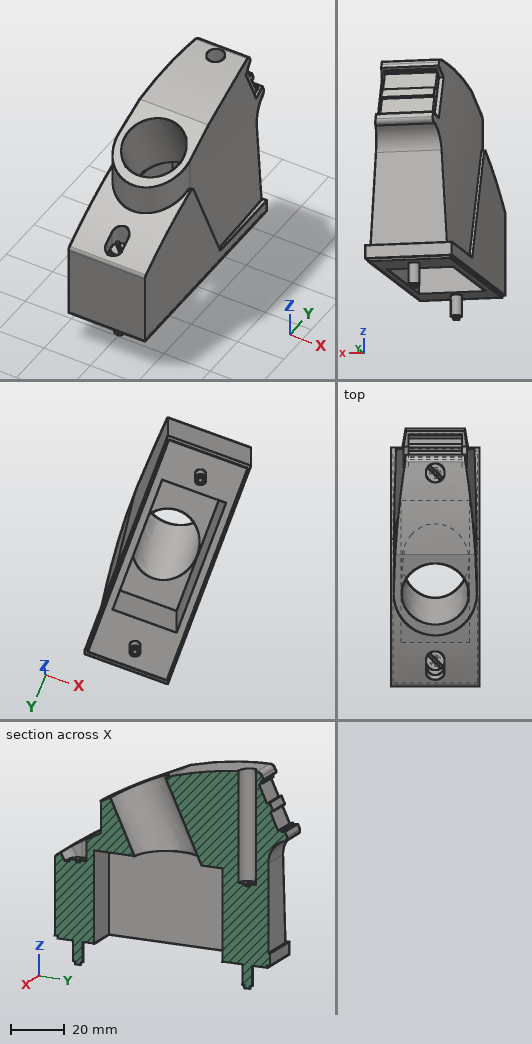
import cadquery as cq
import math


base_width = 33.0
base_length = 88.9
flange_height = 4.9
flange_front_y = 54.8
front_height = 31.0
deck_middle = (18.9, 42.4)
deck_peak = (34.8, 49.5)
deck_front_radius = 1.7
deck_peak_radius = 1.9

plate_width = 31.3
plate_front_y = 1.2
plate_rear_y = 87.6
plate_thickness = 1.0

hood_radius = 15.5
hood_center_y = 34.5
hood_front_y = hood_center_y - hood_radius
hood_rear_y = 88.2
hood_top = 74.9
slope_angle = 24.8
slope_start = (49.1, 68.8)
crown_middle = (68.6, 73.2)
crown_end = (83.4, hood_top)
hood_plan_length = 62.4
bow_mid_low, bow_end_low = 0.1, 0.9
bow_mid_high, bow_end_high = 2.0, 6.4

throat_start_z = 39.8
throat_radius = 10.1
throat_end = (94.0, 49.0)
lip_round_middle = (95.7, 49.8)

recess_origin = (89.2, 51.8)
recess_length = 18.2
lip_reach = 5.9
lower_lip_corner = -3.5
lower_lip_edge = -1.3
upper_lip_edge = 19.6
upper_lip_corner = 21.1

block_width = 20.0
block_height = 3.3
ridge_height = 4.5
ridge_overhang = 1.1
end_ridge_length = 0.9
middle_ridge_start = 7.3
middle_ridge_end = 10.8
block_root = -1.9

bore_diameter = 25.0
bore_center_y = 34.4
cavity_width = 25.3
cavity_front_y = 16.3
cavity_rear_y = 69.1
cavity_top = 35.2

screw_ys = (9.6, 79.4)
screw_hole_diameter = 7.0
head_top = 30.7
driver_slot_width = 1.1
driver_slot_depth = 0.9
driver_slot_angle = -45.0
pin_radius = 2.1
pin_end_z = -8.7
tip_shoulder_radius, tip_radius, tip_end_radius = 1.5, 1.2, 1.0
tip_shoulder_z, tip_chamfer_z, tip_end_z = -9.0, -9.8, -10.1

access_tilt = 30.0
access_front_y = 4.2
access_floor_z = 29.8
wedge_height = 9.6

clearance_height = 96.0


def side_extrusion(outline, width):
    """Extrude a closed Y-Z outline to the given width, centred on X = 0."""
    return outline.close().extrude(width / 2, both=True)


def slope_z(y):
    """Height of the sloping cable-entry face at a given Y."""
    return slope_start[1] - (slope_start[0] - y) * math.tan(math.radians(slope_angle))


def recess_point(along, out):
    """Y-Z place of a point given in the frame of the rear recess."""
    lean = math.radians(slope_angle)
    y = recess_origin[0] - along * math.sin(lean) + out * math.cos(lean)
    z = recess_origin[1] + along * math.cos(lean) + out * math.sin(lean)
    return (y, z)


def leaning_hole(diameter, tilt, center_y, floor_z):
    """Round cutter leaning towards the front, ending on a level floor."""
    lean = math.radians(tilt)
    ellipse = cq.Wire.makeEllipse(
        diameter / 2 / math.cos(lean), diameter / 2,
        cq.Vector(0, center_y, floor_z), cq.Vector(0, 0, 1), cq.Vector(0, 1, 0),
    )
    direction = cq.Vector(0, -math.tan(lean), 1) * clearance_height
    return cq.Workplane(obj=cq.Solid.extrudeLinear(ellipse, [], direction))


def make_base():
    outline = (
        cq.Workplane("YZ")
        .lineTo(0, front_height)
        .threePointArc(deck_middle, deck_peak)
        .lineTo(flange_front_y, flange_height)
        .lineTo(base_length, flange_height)
        .lineTo(base_length, 0)
    )
    base = side_extrusion(outline, base_width)
    base = base.edges(cq.selectors.NearestToPointSelector((0, 0, front_height))).fillet(deck_front_radius)
    return base.edges(cq.selectors.NearestToPointSelector((0, *deck_peak))).fillet(deck_peak_radius)


def make_plate():
    return cq.Workplane("XY").box(
        plate_width, plate_rear_y - plate_front_y, plate_thickness, centered=(True, False, False)
    ).translate((0, plate_front_y, -plate_thickness))


def hood_plan(workplane, bow_mid, bow_end):
    """Plan outline of the hood: round front, bowed sides and a straight rear."""
    middle_y = hood_center_y + hood_plan_length / 2
    rear_y = hood_center_y + hood_plan_length
    return (
        workplane.moveTo(-hood_radius, hood_center_y)
        .threePointArc((0, hood_front_y), (hood_radius, hood_center_y))
        .threePointArc((hood_radius - bow_mid, middle_y), (hood_radius - bow_end, rear_y))
        .lineTo(-hood_radius + bow_end, rear_y)
        .threePointArc((-hood_radius + bow_mid, middle_y), (-hood_radius, hood_center_y))
        .close()
    )


def make_hood():
    plan = hood_plan(cq.Workplane("XY"), bow_mid_low, bow_end_low)
    plan = hood_plan(plan.workplane(offset=hood_top), bow_mid_high, bow_end_high)
    envelope = plan.loft(ruled=True)

    throat_turn = math.asin((throat_end[1] - throat_start_z) / throat_radius) / 2
    throat_middle = (
        hood_rear_y + throat_radius * (1 - math.cos(throat_turn)),
        throat_start_z + throat_radius * math.sin(throat_turn),
    )
    outline = (
        cq.Workplane("YZ")
        .moveTo(hood_front_y, 0)
        .lineTo(hood_rear_y, 0)
        .lineTo(hood_rear_y, throat_start_z)
        .threePointArc(throat_middle, throat_end)
        .threePointArc(lip_round_middle, recess_point(lower_lip_corner, lip_reach))
        .lineTo(*recess_point(lower_lip_edge, lip_reach))
        .lineTo(*recess_point(0, 0))
        .lineTo(*recess_point(recess_length, 0))
        .lineTo(*recess_point(upper_lip_edge, lip_reach))
        .lineTo(*recess_point(upper_lip_corner, lip_reach))
        .tangentArcPoint(crown_end, relative=False)
        .threePointArc(crown_middle, slope_start)
        .lineTo(hood_front_y, slope_z(hood_front_y))
    )
    return envelope.intersect(side_extrusion(outline, base_width))


def make_latch_block():
    top = recess_length + ridge_overhang
    low_ridge_end = end_ridge_length - ridge_overhang
    high_ridge_start = top - end_ridge_length
    points = [
        (-ridge_overhang, block_root),
        (-ridge_overhang, ridge_height),
        (low_ridge_end, ridge_height),
        (low_ridge_end, block_height),
        (middle_ridge_start, block_height),
        (middle_ridge_start, ridge_height),
        (middle_ridge_end, ridge_height),
        (middle_ridge_end, block_height),
        (high_ridge_start, block_height),
        (high_ridge_start, ridge_height),
        (top, ridge_height),
        (top, block_root),
    ]
    outline = cq.Workplane("YZ").polyline([recess_point(*point) for point in points])
    return side_extrusion(outline, block_width)


def make_pin(y):
    """Screw end below the housing, with a stepped and chamfered tip."""
    return (
        cq.Workplane("XZ")
        .lineTo(pin_radius, 0)
        .lineTo(pin_radius, pin_end_z)
        .lineTo(tip_shoulder_radius, tip_shoulder_z)
        .lineTo(tip_radius, tip_shoulder_z)
        .lineTo(tip_radius, tip_chamfer_z)
        .lineTo(tip_end_radius, tip_end_z)
        .lineTo(0, tip_end_z)
        .close()
        .revolve()
        .translate((0, y, 0))
    )


def make_screw_hole(y):
    """Cutter for the hole down to the screw head, with the driver slot in the head."""
    hole = cq.Workplane("XY", origin=(0, y, head_top)).circle(screw_hole_diameter / 2).extrude(clearance_height)
    slot = (
        cq.Workplane("XY", origin=(0, y, head_top - driver_slot_depth))
        .rect(screw_hole_diameter, driver_slot_width)
        .extrude(2 * driver_slot_depth)
        .rotate((0, y, 0), (0, y, 1), driver_slot_angle)
    )
    return hole.union(slot)


def make_access_hole():
    """Leaning hole, widened back to the upright screw hole by a wedge between the two axes."""
    lean = math.radians(access_tilt)
    floor_y = access_front_y + screw_hole_diameter / 2 / math.cos(lean)
    hole = leaning_hole(screw_hole_diameter, access_tilt, floor_y, access_floor_z)
    wedge_top = access_floor_z + wedge_height
    wedge = (
        cq.Workplane("YZ")
        .moveTo(floor_y, access_floor_z)
        .lineTo(floor_y - wedge_height * math.tan(lean), wedge_top)
        .lineTo(screw_ys[0], wedge_top)
        .lineTo(screw_ys[0], access_floor_z)
    )
    return hole.union(side_extrusion(wedge, screw_hole_diameter))


def make_screw_head():
    """Forward screw head, left standing where the access hole reaches below its top."""
    return (
        cq.Workplane("XY", origin=(0, screw_ys[0], access_floor_z))
        .circle(screw_hole_diameter / 2)
        .extrude(head_top - access_floor_z)
    )


def make_cable_entry():
    """Bore square to the sloping face, opening into a cavity that is open below."""
    depth = slope_z(bore_center_y) - cavity_top
    floor_y = bore_center_y + depth * math.tan(math.radians(slope_angle))
    bore = leaning_hole(bore_diameter, slope_angle, floor_y, cavity_top)
    cavity = cq.Workplane("XY").box(
        cavity_width, cavity_rear_y - cavity_front_y, cavity_top + plate_thickness, centered=(True, False, False)
    ).translate((0, cavity_front_y, -plate_thickness))
    return bore.union(cavity)


result = make_base().union(make_plate()).union(make_hood()).union(make_latch_block())
result = result.cut(make_cable_entry())
result = result.cut(make_access_hole().cut(make_screw_head()))
for screw_y in screw_ys:
    result = result.cut(make_screw_hole(screw_y)).union(make_pin(screw_y))